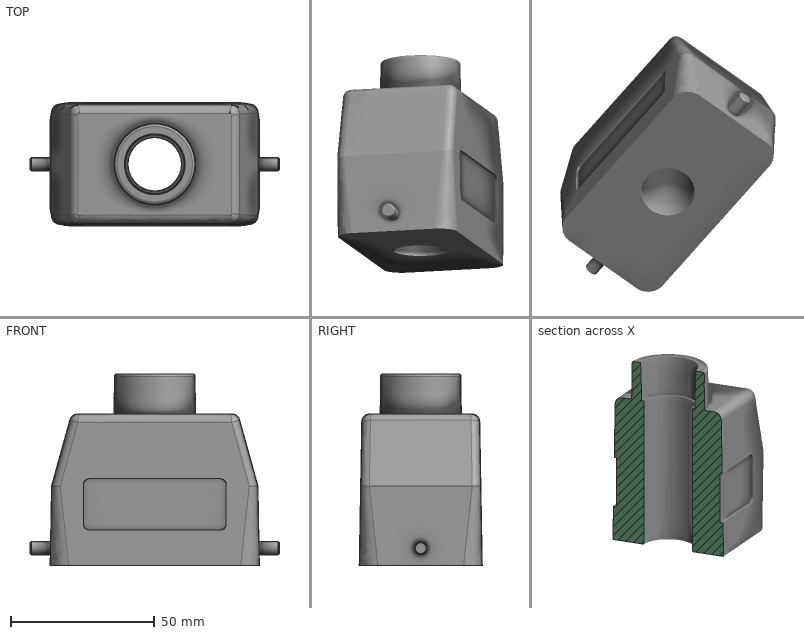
import cadquery as cq
import math

base_length = 73.1
base_width = 43.0
shoulder_height = 27.75
body_height = 53.0
draft = math.tan(math.radians(1.0))
end_slope = math.tan(math.radians(15.5))
base_corner_radius = 6.5
upper_corner_radius = 3.05
top_edge_radius = 3.0
shoulder_radius = 1.5
selection_margin = 0.1

overall_height = 67.0
neck_bottom_radius = 14.3
neck_rim_radius = 0.9
bore_top_radius = 10.6
bore_bottom_radius = 10.3
cable_hole_radius = 9.3

pin_span = 87.0
pin_diameter = 4.7
pin_height = 6.1
pin_chamfer = 0.4

recess_length = 49.9
recess_height = 17.9
recess_bottom = 12.4
recess_depth = 1.05
recess_corner_radius = 2.2


def frustum(bottom_height, top_height, bottom_radius, top_radius):
    """Cone section around the Z axis."""
    return cq.Workplane(cq.Solid.makeCone(
        bottom_radius, top_radius, top_height - bottom_height, pnt=cq.Vector(0, 0, bottom_height)
    ))


def loft_between(bottom_height, bottom_size, bottom_radius, top_height, top_size, top_radius):
    """Straight-sided solid between two rounded rectangles."""
    bottom = cq.Sketch().rect(*bottom_size).vertices().fillet(bottom_radius)
    top = cq.Sketch().rect(*top_size).vertices().fillet(top_radius)
    rise = cq.Location(cq.Vector(0, 0, top_height - bottom_height))
    return (
        cq.Workplane("XY", origin=(0, 0, bottom_height))
        .placeSketch(bottom, top.moved(rise))
        .loft(ruled=True)
    )


def make_body():
    upper_rise = body_height - shoulder_height
    shoulder_narrowing = 2 * shoulder_height * draft
    base_size = (base_length, base_width)
    shoulder_size = (base_length - shoulder_narrowing, base_width - shoulder_narrowing)
    top_size = (
        shoulder_size[0] - 2 * upper_rise * end_slope,
        shoulder_size[1] - 2 * upper_rise * draft,
    )
    lower = loft_between(
        0, base_size, base_corner_radius, shoulder_height, shoulder_size, upper_corner_radius
    )
    upper = loft_between(
        shoulder_height, shoulder_size, upper_corner_radius, body_height, top_size, upper_corner_radius
    )
    upper = upper.faces(">Z").edges().fillet(top_edge_radius)
    body = lower.union(upper)
    shoulder_edges = cq.selectors.BoxSelector(
        (-base_length, -base_width, shoulder_height - selection_margin),
        (base_length, base_width, shoulder_height + selection_margin),
    )
    return body.edges(shoulder_edges).edges("|Y").fillet(shoulder_radius)


def make_recess_cutter(side):
    """Rounded block for the recess on the long side at -Y (side = -1) or +Y (side = 1)."""
    middle_height = recess_bottom + recess_height / 2
    floor_offset = base_width / 2 - middle_height * draft - recess_depth
    return (
        cq.Workplane("XZ", origin=(0, side * floor_offset, middle_height))
        .rect(recess_length, recess_height)
        .extrude(-side * 2 * recess_depth)
        .edges("|Y")
        .fillet(recess_corner_radius)
    )


def make_pins():
    """One bar through the body, both ends showing as pins."""
    return (
        cq.Workplane("YZ", origin=(-pin_span / 2, 0, pin_height))
        .circle(pin_diameter / 2)
        .extrude(pin_span)
        .faces("<X or >X")
        .chamfer(pin_chamfer)
    )


def make_neck():
    neck_top_radius = neck_bottom_radius - (overall_height - body_height) * draft
    neck = frustum(body_height, overall_height, neck_bottom_radius, neck_top_radius)
    return neck.faces(">Z").edges().fillet(neck_rim_radius)


bore = frustum(body_height, overall_height, bore_bottom_radius, bore_top_radius)
cable_hole = cq.Workplane("XY").circle(cable_hole_radius).extrude(overall_height)

result = (
    make_body()
    .cut(make_recess_cutter(-1))
    .cut(make_recess_cutter(1))
    .union(make_pins())
    .union(make_neck())
    .cut(bore)
    .cut(cable_hole)
)